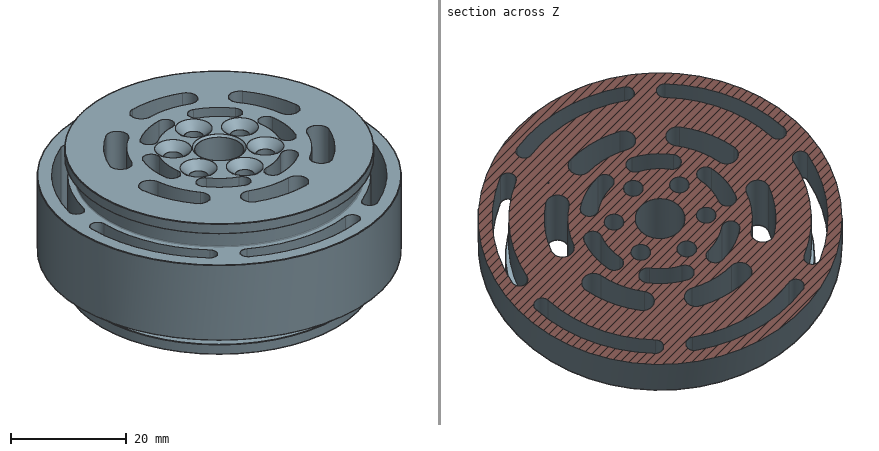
import cadquery as cq
import math

total_height = 26.0
rim_diameter = 63.0
rim_width = 15.0
neck_diameter = 50.0
flange_diameter = 53.5
flange_thickness = 2.0
edge_chamfer = 0.1
neck_foot_fillet = 0.1

bore_diameter = 8.5
bore_chamfer = 0.4
screw_count = 6
screw_circle_radius = 8.0
first_screw_angle = 90.0
screw_hole_diameter = 3.3
countersink_diameter = 6.4
countersink_angle = 90.0

slots_per_ring = 6
inner_slots = dict(radius=12.4, width=3.1, height=total_height, half_sweep=15.0, first_angle=0.0)
middle_slots = dict(radius=18.0, width=4.0, height=total_height, half_sweep=15.0, first_angle=30.0)
rim_slots = dict(radius=27.6, width=2.8, height=rim_width, half_sweep=23.0, first_angle=30.0)


def disc(diameter, height):
    """Cylinder on the Z axis, centred on mid-height."""
    return cq.Workplane("XY").cylinder(height, diameter / 2)


def chamfered_disc(diameter, height):
    return disc(diameter, height).edges("%CIRCLE").chamfer(edge_chamfer)


def make_body():
    """Rim with a necked flange on each side, centred on mid-height."""
    body = disc(neck_diameter, total_height - flange_thickness)
    body = body.union(chamfered_disc(rim_diameter, rim_width))

    neck_feet = body.edges("%CIRCLE").edges("not (>Z or <Z)").edges(cq.selectors.RadiusNthSelector(0))
    body = neck_feet.fillet(neck_foot_fillet)

    flange = chamfered_disc(flange_diameter, flange_thickness)
    flange_offset = (total_height - flange_thickness) / 2
    for side in (-1, 1):
        body = body.union(flange.translate((0, 0, side * flange_offset)))
    return body


def polar(radius, angle):
    radians = math.radians(angle)
    return (radius * math.cos(radians), radius * math.sin(radians))


def curved_slot(radius, width, height, half_sweep, angle):
    """Cutter for a round-ended slot along an arc, centred on mid-height."""
    inner = radius - width / 2
    outer = radius + width / 2
    start = angle - half_sweep
    end = angle + half_sweep
    cap_angle = math.degrees(width / 2 / radius)
    return (
        cq.Workplane("XY")
        .moveTo(*polar(outer, start))
        .threePointArc(polar(outer, angle), polar(outer, end))
        .threePointArc(polar(radius, end + cap_angle), polar(inner, end))
        .threePointArc(polar(inner, angle), polar(inner, start))
        .threePointArc(polar(radius, start - cap_angle), polar(outer, start))
        .close()
        .extrude(height / 2, both=True)
    )


def cut_slot_ring(body, radius, width, height, half_sweep, first_angle):
    for index in range(slots_per_ring):
        angle = first_angle + index * 360.0 / slots_per_ring
        body = body.cut(curved_slot(radius, width, height, half_sweep, angle))
    return body


def cut_bore(body):
    """Through bore with a chamfered mouth on the top face."""
    bore_radius = bore_diameter / 2
    mouth = cq.Solid.makeCone(
        bore_radius,
        bore_radius + bore_chamfer,
        bore_chamfer,
        pnt=cq.Vector(0, 0, total_height / 2 - bore_chamfer),
    )
    return body.cut(disc(bore_diameter, total_height)).cut(cq.Workplane(mouth))


def cut_screw_holes(body):
    """Through holes countersunk from the top face."""
    return (
        body.faces(">Z")
        .workplane(origin=(0, 0, total_height / 2))
        .polarArray(screw_circle_radius, first_screw_angle, 360, screw_count)
        .cskHole(screw_hole_diameter, countersink_diameter, countersink_angle)
    )


wheel = make_body()
for slot_ring in (inner_slots, middle_slots, rim_slots):
    wheel = cut_slot_ring(wheel, **slot_ring)
wheel = cut_bore(wheel)
wheel = cut_screw_holes(wheel)

result = wheel.translate((0, 0, total_height / 2))